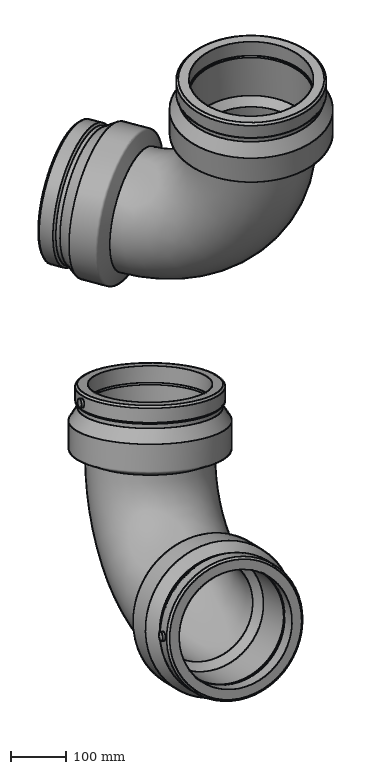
import cadquery as cq

overall_size = 510.0
collar_radius = 295.0 / 2
socket_length = 135.5
axis_reach = overall_size - collar_radius
bend_radius = axis_reach - socket_length
half_size = overall_size / 2
axis_offset = half_size - collar_radius

pipe_radius = 235.5 / 2
bore_radius = 196.0 / 2

rim_radius = 271.0 / 2
groove_radius = 263.0 / 2
rim_chamfer = rim_radius - groove_radius
rim_end = 31.0
groove_start = rim_end + rim_chamfer
groove_end = 43.5
collar_start = 68.5
collar_end = 123.0
collar_edge_round = 5.0

mouth_radius = 225.0 / 2
seat_depth = socket_length - (mouth_radius - bore_radius)
seal_groove_depth = 33.5
seal_groove_radius = 4.0 / 2

stud_radius = 8.5
stud_depth = 18.0
stud_top = 140.5


def make_socket_body():
    """Solid socket, open face at Z = 0, extending along -Z."""
    profile = [
        (0, 0),
        (groove_radius, 0),
        (rim_radius, -rim_chamfer),
        (rim_radius, -rim_end),
        (groove_radius, -groove_start),
        (groove_radius, -groove_end),
        (collar_radius, -collar_start),
        (collar_radius, -collar_end),
        (pipe_radius, -socket_length),
        (0, -socket_length),
    ]
    body = cq.Workplane("XZ").polyline(profile).close().revolve(360, (0, 0, 0), (0, 1, 0))
    collar_edge = cq.selectors.NearestToPointSelector((0, 0, -collar_end))
    body = body.edges("%CIRCLE").edges(collar_edge).fillet(collar_edge_round)
    stud = cq.Workplane("XZ").center(0, -stud_depth).circle(stud_radius).extrude(-stud_top)
    return body.union(stud)


def make_socket_cavity():
    """Straight mouth with a half-round seal groove and a 45 degree seat down to the bore."""
    profile = [
        (0, 0),
        (mouth_radius, 0),
        (mouth_radius, -seat_depth),
        (bore_radius, -socket_length),
        (0, -socket_length),
    ]
    cavity = cq.Workplane("XZ").polyline(profile).close().revolve(360, (0, 0, 0), (0, 1, 0))
    seal_groove = (
        cq.Workplane("XZ")
        .center(mouth_radius, -seal_groove_depth)
        .circle(seal_groove_radius)
        .revolve(360, (-mouth_radius, 0, 0), (-mouth_radius, 1, 0))
    )
    return cavity.union(seal_groove)


def make_bend(radius):
    """Quarter torus joining the inner ends of both sockets."""
    start = socket_length - half_size
    return (
        cq.Workplane("YZ", origin=(start, 0, -axis_offset))
        .circle(radius)
        .revolve(90, (5, bend_radius, 0), (-5, bend_radius, 0))
    )


def place_on_top(socket):
    return socket.translate((axis_offset, 0, half_size))


def place_on_left(socket):
    turned = socket.rotate((0, 0, 0), (0, 1, 0), -90)
    return turned.translate((-half_size, 0, -axis_offset))


socket_body = make_socket_body()
socket_cavity = make_socket_cavity()

result = make_bend(pipe_radius)
for place in (place_on_top, place_on_left):
    result = result.union(place(socket_body))
result = result.cut(make_bend(bore_radius))
for place in (place_on_top, place_on_left):
    result = result.cut(place(socket_cavity))